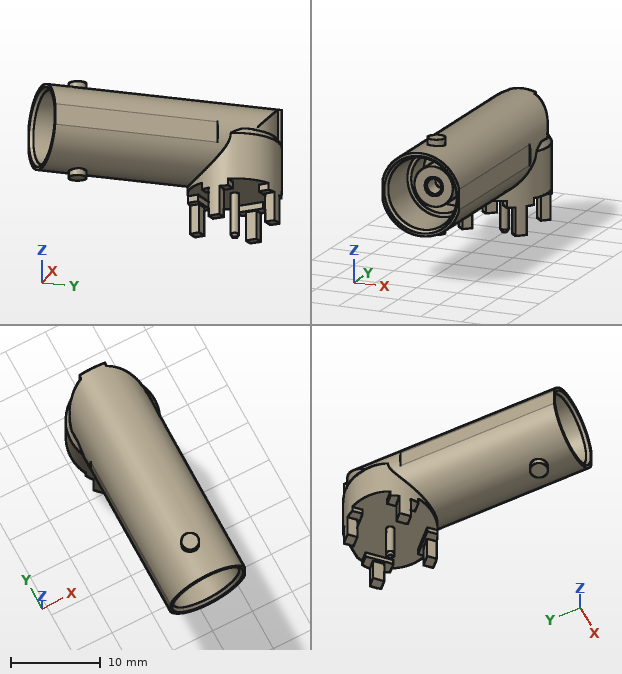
import cadquery as cq

length = 27.65
back_y = 4.98
mouth_y = back_y - length

barrel_radius = 9.65 / 2
flat_half_width = 4.67
flat_back_y = -3.62
back_strip_width = 3.2

mouth_radius = 4.48
lead_in_radius = 4.17
lead_in_depth = 0.41
shoulder_radius = 4.0
shoulder_depth = 5.25
inner_bore_radius = 7.1 / 2
inner_bore_depth = 8.57

plug_radius = 4.67 / 2
plug_depth = 3.45
contact_recess_radius = 2.18 / 2
contact_depth = 3.6
socket_mouth_radius = 0.88
socket_radius = 1.4 / 2
socket_depth = 5.53

bayonet_diameter = 2.0
bayonet_reach = 5.53
bayonet_y = mouth_y + 4.2

post_radius = 10.53 / 2
post_shoulder_z = 0.0
post_top_z = 0.75
post_bottom_z = -5.35
post_chamfer_radial = 0.47

foot_width = 3.25
foot_inner = 3.8
foot_bottom_z = -6.14
leg_width = 1.33
leg_inner = 4.1
leg_bottom_z = -9.45

solder_pin_radius = 0.97 / 2
solder_tip_radius = 0.25
solder_tip_height = 0.4
solder_pin_bottom_z = -10.48


def upright_cylinder(radius, bottom_z, top_z):
    return cq.Workplane("XY").workplane(offset=bottom_z).circle(radius).extrude(top_z - bottom_z)


def barrel_cylinder(radius, front_y, rear_y):
    """Cylinder on the barrel axis, with its seam turned away from the edge of the post shoulder."""
    cylinder = cq.Workplane("XZ", origin=(0, rear_y, 0)).circle(radius).extrude(rear_y - front_y)
    return cylinder.rotate((0, 0, 0), (0, 1, 0), 90)


def make_barrel():
    """Barrel with two side flats, and above the axis a rounded back with a flat-ended crown strip.

    Below the axis the post alone fills the space behind Y = 0.
    """
    front = barrel_cylinder(barrel_radius, mouth_y, 0)
    rear = barrel_cylinder(barrel_radius, 0, back_y)
    rounding = upright_cylinder(barrel_radius, 0, barrel_radius)
    strip = cq.Workplane("XY").box(back_strip_width, 2 * back_y, barrel_radius)
    strip = strip.translate((0, 0, barrel_radius / 2))
    barrel = front.union(rear.intersect(rounding.union(strip)))
    flat_length = flat_back_y - mouth_y
    flat_cutter_width = barrel_radius
    for side in (-1, 1):
        cutter = cq.Workplane("XY").box(flat_cutter_width, flat_length, 2 * barrel_radius).translate(
            (side * (flat_half_width + flat_cutter_width / 2), mouth_y + flat_length / 2, 0)
        )
        barrel = barrel.cut(cutter)
    return barrel


def make_bore():
    """Hollow of the barrel, revolved around the barrel axis and leaving the plug standing."""
    return (
        cq.Workplane("XY")
        .moveTo(0, mouth_y)
        .lineTo(mouth_radius, mouth_y)
        .lineTo(lead_in_radius, mouth_y + lead_in_depth)
        .lineTo(shoulder_radius, mouth_y + shoulder_depth)
        .lineTo(inner_bore_radius, mouth_y + shoulder_depth)
        .lineTo(inner_bore_radius, mouth_y + inner_bore_depth)
        .lineTo(plug_radius, mouth_y + inner_bore_depth)
        .lineTo(plug_radius, mouth_y + plug_depth)
        .lineTo(contact_recess_radius, mouth_y + plug_depth)
        .lineTo(contact_recess_radius, mouth_y + contact_depth)
        .lineTo(socket_mouth_radius, mouth_y + contact_depth)
        .lineTo(socket_radius, mouth_y + socket_depth)
        .lineTo(0, mouth_y + socket_depth)
        .close()
        .revolve(360, (0, 0, 0), (0, 1, 0))
    )


def make_bayonet_pins():
    """One pin above and one below the barrel, rooted inside its wall."""
    pins = upright_cylinder(bayonet_diameter / 2, -bayonet_reach, bayonet_reach)
    core = barrel_cylinder(mouth_radius, mouth_y, 0)
    return pins.translate((0, bayonet_y, 0)).cut(core)


def make_diagonal_blocks(inner, width, bottom_z):
    """Four blocks on the diagonals, rounded on the outside by the post cylinder."""
    height = post_bottom_z - bottom_z
    depth = post_radius - inner
    envelope = upright_cylinder(post_radius, bottom_z, post_bottom_z)
    blocks = cq.Workplane("XY")
    for angle in (45, 135, 225, 315):
        block = cq.Workplane("XY").box(depth, width, height)
        block = block.translate((inner + depth / 2, 0, bottom_z + height / 2))
        blocks = blocks.add(block.rotate((0, 0, 0), (0, 0, 1), angle))
    return blocks.combine().intersect(envelope)


def make_post():
    """Round post with a sloped top edge and a flat back."""
    post = (
        cq.Workplane("XZ")
        .moveTo(0, post_bottom_z)
        .lineTo(post_radius, post_bottom_z)
        .lineTo(post_radius, post_shoulder_z)
        .lineTo(post_radius - post_chamfer_radial, post_top_z)
        .lineTo(0, post_top_z)
        .close()
        .revolve(360, (0, 0, 0), (0, 1, 0))
    )
    behind_depth = post_radius
    behind = cq.Workplane("XY").box(2 * post_radius, behind_depth, length)
    return post.cut(behind.translate((0, back_y + behind_depth / 2, 0)))


def make_solder_pin():
    pin = upright_cylinder(solder_pin_radius, solder_pin_bottom_z, post_bottom_z)
    return pin.faces("<Z").chamfer(solder_tip_height, solder_pin_radius - solder_tip_radius)


result = (
    make_barrel()
    .union(make_post())
    .cut(make_bore())
    .union(make_bayonet_pins())
    .union(make_diagonal_blocks(foot_inner, foot_width, foot_bottom_z))
    .union(make_diagonal_blocks(leg_inner, leg_width, leg_bottom_z))
    .union(make_solder_pin())
)